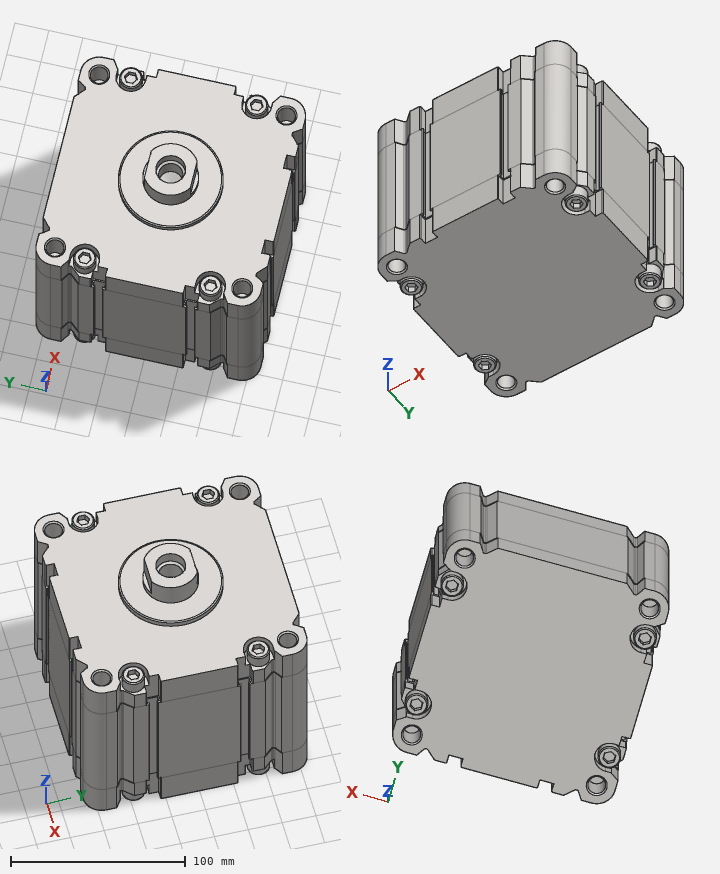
import cadquery as cq
import math

SIDE = 132.0
HALF_SIDE = SIDE / 2
HOUSING_HEIGHT = 111.0
CAP_HEIGHT = 19.8
CORNER_RADIUS = 11.0
TUBE_HEIGHT = HOUSING_HEIGHT - 2 * CAP_HEIGHT

NOTCH_INNER = 39.0
NOTCH_OUTER = 48.5
NOTCH_DEPTH = 4.6
NOTCH_FLOOR_INNER = 44.1
NOTCH_FLOOR_OUTER = 45.5
NOTCH_FLOOR_RADIUS = 1.0
CAP_NOTCH_CLEARANCE = 0.5

SLOT_OFFSET = 27.0
SLOT_OPENING = 4.6
SLOT_LIP = 1.3
SLOT_INNER_WIDTH = 6.7
SLOT_DEPTH = 4.4
CAP_SLOT_WIDTH = 8.3
CAP_SLOT_DEPTH = 5.1
SLOT_EDGE_CHAMFER = 0.5

MOUNT_OFFSET = HALF_SIDE - CORNER_RADIUS
MOUNT_DIAMETER = 10.2
MOUNT_MOUTH_DIAMETER = 12.0
MOUNT_MOUTH_ANGLE = 90.0
MOUNT_DEPTH = CAP_HEIGHT

SCREW_X = 57.4
SCREW_Y = 37.0
POCKET_WIDTH = 17.0
POCKET_DEPTH = 8.2
HEAD_DIAMETER = 13.0
HEAD_TOP_DIAMETER = 11.5
SOCKET_SIDES = 6
SOCKET_FLATS = 6.5
SOCKET_DEPTH = 4.0

COLLAR_DIAMETER = 60.0
COLLAR_HEIGHT = 3.5
COLLAR_CHAMFER_WIDTH = 0.9
COLLAR_CHAMFER_HEIGHT = 0.4

ROD_DIAMETER = 32.0
ROD_TOP = 129.0
ROD_BOTTOM = HOUSING_HEIGHT - CAP_HEIGHT
ROD_LENGTH = ROD_TOP - ROD_BOTTOM
FLATS_WIDTH = 27.0
FLATS_LENGTH = 11.0
THREAD_DIAMETER = 13.9
THREAD_DEPTH = 19.8
THREAD_MOUTH_DIAMETER = 17.0
THREAD_MOUTH_DEPTH = 7.0
DRILL_POINT_ANGLE = 120.0

ALL_SIDES = (0, 90, 180, 270)
SLOTTED_SIDES = (0, 90, 270)


def make_notch(height, clearance):
    """Notch on the +X half of the -Y side, widened and deepened by a clearance."""
    mouth_y = -HALF_SIDE
    floor_y = -HALF_SIDE + NOTCH_DEPTH + clearance
    outline = [
        (NOTCH_INNER - clearance, mouth_y),
        (NOTCH_FLOOR_INNER, floor_y),
        (NOTCH_FLOOR_OUTER, floor_y),
        (NOTCH_OUTER + clearance, mouth_y),
    ]
    notch = cq.Workplane("XY").polyline(outline).close().extrude(height)
    return notch.faces(">Y").edges("|Z").fillet(NOTCH_FLOOR_RADIUS)


def make_slot(height, inner_profile):
    """Slot on the +X half of the -Y side with chamfered mouth edges.

    The inner profile lists (half width, depth) along one wall, from below the chamfer to the floor.
    """
    opening_half_width = inner_profile[0][0]
    profile = [
        (opening_half_width + SLOT_EDGE_CHAMFER, 0),
        (opening_half_width, SLOT_EDGE_CHAMFER),
        *inner_profile,
    ]
    right = [(SLOT_OFFSET + half_width, depth - HALF_SIDE) for half_width, depth in profile]
    left = [(SLOT_OFFSET - half_width, depth - HALF_SIDE) for half_width, depth in reversed(profile)]
    return cq.Workplane("XY").polyline(right + left).close().extrude(height)


def make_tube_slot():
    """T-slot with a lip on both sides of its opening."""
    return make_slot(TUBE_HEIGHT, [
        (SLOT_OPENING / 2, SLOT_LIP),
        (SLOT_INNER_WIDTH / 2, SLOT_LIP),
        (SLOT_INNER_WIDTH / 2, SLOT_DEPTH),
    ])


def make_cap_slot():
    """Plain slot, wide and deep enough to leave the T-slot clear."""
    return make_slot(CAP_HEIGHT, [(CAP_SLOT_WIDTH / 2, CAP_SLOT_DEPTH)])


def cut_groove_pairs(block, groove, sides):
    """Cut a groove and its mirror image into each of the given sides."""
    pair = groove.union(groove.mirror("YZ"))
    for angle in sides:
        block = block.cut(pair.rotate((0, 0, 0), (0, 0, 1), angle))
    return block


def make_block(height):
    """Square block with rounded corners, standing on Z = 0."""
    block = cq.Workplane("XY").rect(SIDE, SIDE).extrude(height)
    return block.edges("|Z").fillet(CORNER_RADIUS)


def make_tube():
    """Middle section of the housing."""
    tube = make_block(TUBE_HEIGHT)
    tube = cut_groove_pairs(tube, make_notch(TUBE_HEIGHT, 0), ALL_SIDES)
    return cut_groove_pairs(tube, make_tube_slot(), SLOTTED_SIDES)


def make_screw_pocket():
    """Pocket around one screw at +X, open towards the side, cut down from the cap face."""
    floor = cq.Workplane("XY").workplane(offset=CAP_HEIGHT - POCKET_DEPTH)
    reach = HALF_SIDE - SCREW_X
    round_end = floor.center(SCREW_X, SCREW_Y).circle(POCKET_WIDTH / 2).extrude(POCKET_DEPTH)
    opening = floor.center(SCREW_X + reach / 2, SCREW_Y).rect(reach, POCKET_WIDTH).extrude(POCKET_DEPTH)
    return round_end.union(opening)


def make_screw_head():
    """Socket screw head standing on the pocket floor, flush with the cap face."""
    bevel = (HEAD_DIAMETER - HEAD_TOP_DIAMETER) / 2
    half_sector = 180 / SOCKET_SIDES
    socket_corners = SOCKET_FLATS / math.cos(math.radians(half_sector))
    head = (
        cq.Workplane("XY")
        .workplane(offset=CAP_HEIGHT - POCKET_DEPTH)
        .center(SCREW_X, SCREW_Y)
        .circle(HEAD_DIAMETER / 2)
        .extrude(POCKET_DEPTH)
        .faces(">Z").edges().chamfer(bevel)
    )
    socket = (
        cq.Workplane("XY")
        .polygon(SOCKET_SIDES, socket_corners)
        .extrude(SOCKET_DEPTH)
        .rotate((0, 0, 0), (0, 0, 1), half_sector)
        .translate((SCREW_X, SCREW_Y, CAP_HEIGHT - SOCKET_DEPTH))
    )
    return head.cut(socket)


def four_fold(shape):
    """The shape together with its mirror images in X and Y."""
    pair = shape.union(shape.mirror("YZ"))
    return pair.union(pair.mirror("XZ"))


def make_cap():
    """End cap with its outer face up."""
    cap = make_block(CAP_HEIGHT)
    cap = cut_groove_pairs(cap, make_notch(CAP_HEIGHT, CAP_NOTCH_CLEARANCE), ALL_SIDES)
    cap = cut_groove_pairs(cap, make_cap_slot(), SLOTTED_SIDES)
    cap = (
        cap.faces(">Z").workplane(origin=(0, 0, CAP_HEIGHT))
        .rect(2 * MOUNT_OFFSET, 2 * MOUNT_OFFSET, forConstruction=True)
        .vertices()
        .cskHole(MOUNT_DIAMETER, MOUNT_MOUTH_DIAMETER, MOUNT_MOUTH_ANGLE, MOUNT_DEPTH)
    )
    return cap.cut(four_fold(make_screw_pocket())).union(four_fold(make_screw_head()))


def make_collar():
    """Chamfered disc on top of the housing."""
    return (
        cq.Workplane("XY")
        .workplane(offset=HOUSING_HEIGHT)
        .circle(COLLAR_DIAMETER / 2)
        .extrude(COLLAR_HEIGHT)
        .faces(">Z").edges().chamfer(COLLAR_CHAMFER_HEIGHT, COLLAR_CHAMFER_WIDTH)
    )


def make_rod_blank():
    """Plain rod, also used to bore its matching hole in the housing."""
    return cq.Workplane("XY").workplane(offset=ROD_BOTTOM).circle(ROD_DIAMETER / 2).extrude(ROD_LENGTH)


def make_housing():
    """Tube, both caps with their screws, and the collar, bored for the rod.

    The seams between tube and caps stay as edges, so these steps do not merge flush faces.
    """
    cap = make_cap()
    top_cap = cap.translate((0, 0, HOUSING_HEIGHT - CAP_HEIGHT))
    bottom_cap = cap.mirror("XY").translate((0, 0, CAP_HEIGHT))
    tube = make_tube().translate((0, 0, CAP_HEIGHT))
    housing = tube
    for section in (top_cap, bottom_cap, make_collar()):
        housing = housing.union(section, clean=False)
    return housing.cut(make_rod_blank(), clean=False)


def make_rod():
    """Piston rod end with wrench flats and a counterbored threaded hole."""
    flats = (
        cq.Workplane("XY")
        .workplane(offset=ROD_TOP - FLATS_LENGTH)
        .rect(2 * ROD_DIAMETER, 2 * ROD_DIAMETER)
        .rect(2 * ROD_DIAMETER, FLATS_WIDTH)
        .extrude(FLATS_LENGTH)
    )
    mouth_radius = THREAD_MOUTH_DIAMETER / 2
    thread_radius = THREAD_DIAMETER / 2
    step_z = ROD_TOP - THREAD_MOUTH_DEPTH
    cone_slope = 1 / math.tan(math.radians(DRILL_POINT_ANGLE / 2))
    cone_z = step_z - (mouth_radius - thread_radius) * cone_slope
    bottom_z = ROD_TOP - THREAD_DEPTH
    hole = (
        cq.Workplane("XZ")
        .moveTo(0, ROD_TOP)
        .lineTo(mouth_radius, ROD_TOP)
        .lineTo(mouth_radius, step_z)
        .lineTo(thread_radius, cone_z)
        .lineTo(thread_radius, bottom_z)
        .lineTo(0, bottom_z - thread_radius * cone_slope)
        .close()
        .revolve(360, (0, 0, 0), (0, 1, 0))
    )
    return make_rod_blank().cut(flats).cut(hole)


housing = make_housing()
rod = make_rod()
result = cq.Compound.makeCompound([housing.solids().val(), rod.solids().val()])